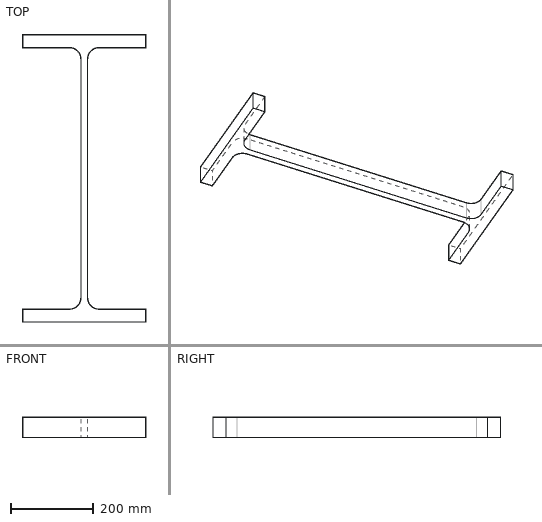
import cadquery as cq

section_width = 300.0
section_height = 700.0
beam_length = 50.0
flange_thickness = 32.0
web_thickness = 17.0
root_radius = 27.0

web_height = section_height - 2 * flange_thickness
flange_offset = (section_height - flange_thickness) / 2


def make_flange(center_y):
    """Flat flange plate centred on the web line at the given Y."""
    return (
        cq.Workplane("XY")
        .center(0, center_y)
        .rect(section_width, flange_thickness)
        .extrude(beam_length)
    )


def make_web():
    """Thin plate joining the inner faces of the two flanges."""
    return cq.Workplane("XY").rect(web_thickness, web_height).extrude(beam_length)


def round_roots(beam):
    """Fillet the four inner corners where the web meets the flanges."""
    root_points = [
        (side_x * web_thickness / 2, side_y * web_height / 2, beam_length / 2)
        for side_x in (-1, 1)
        for side_y in (-1, 1)
    ]
    roots = [beam.edges("|Z").edges(cq.NearestToPointSelector(point)).val() for point in root_points]
    return beam.newObject(roots).fillet(root_radius)


plain_beam = make_web().union(make_flange(flange_offset)).union(make_flange(-flange_offset))
result = round_roots(plain_beam)